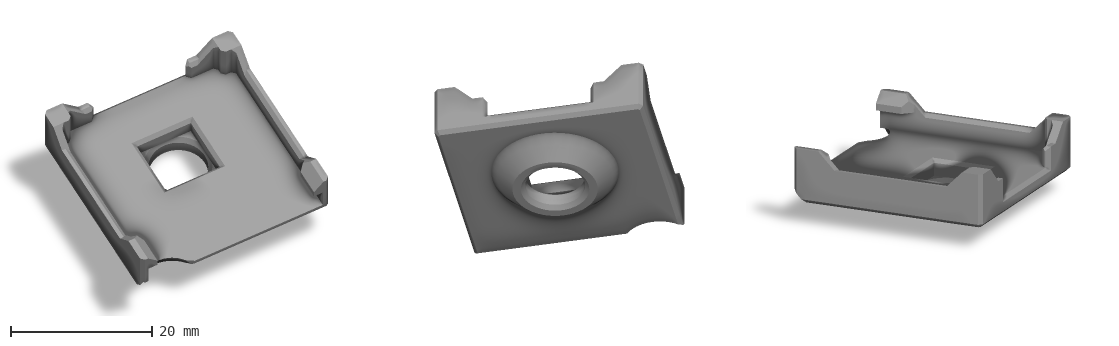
import cadquery as cq

LENGTH = 29.5
WIDTH = 30.2
TOTAL_HEIGHT = 11.0
BOSS_HEIGHT = 3.0
TOP = TOTAL_HEIGHT - BOSS_HEIGHT
FLOOR = 2.45
LOW_WALL = 5.47
BEVEL = 0.55
MARGIN = 0.3

SIDE_WALL = 1.12
END_WALL = 1.3
PILLAR = 3.05
OPENING = 16.0

HOOK_LENGTH = 4.0
HOOK_REACH = 2.55
HOOK_FLAT = 1.0

BOSS_X = 12.15
BOSS_Y = 15.2
BOSS_BOTTOM_RADIUS = 6.05
SOCKET = 8.67
SOCKET_BOTTOM = 0.0
BORE_DIAMETER = 8.5
BORE_BEVEL = 0.6

EDGE_RELIEF = 1.85
NOTCH_X = 31.15
NOTCH_Y = 4.02
NOTCH_RADIUS = 4.1
NOTCH_BOTTOM_RADIUS = 5.32
NOTCH_FLARE_X = 28.72
NOTCH_FLARE_Y = 7.3
NOTCH_FLARE_END_Y = 8.52


def mirror_width(shape):
    """Return the shape reflected about the middle of the width."""
    return shape.mirror("XZ", (0, WIDTH / 2, 0))


def prism_along_x(points, start, end):
    """Extrude a (y, z) outline from x = start to x = end."""
    return cq.Workplane("YZ", origin=(start, 0, 0)).polyline(points).close().extrude(end - start)


def prism_along_y(points, start, end):
    """Extrude an (x, z) outline from y = start to y = end."""
    return cq.Workplane("XZ", origin=(0, start, 0)).polyline(points).close().extrude(start - end)


def prism_along_z(points, start, end):
    """Extrude an (x, y) outline from z = start to z = end."""
    return cq.Workplane("XY", origin=(0, 0, start)).polyline(points).close().extrude(end - start)


def ramped_gap(start, end, bottom):
    """Outline of a gap with 45 degree sides, given its ends at the top of the part."""
    depth = TOP - bottom
    return [
        (start - MARGIN, TOP + MARGIN),
        (start + depth, bottom),
        (end - depth, bottom),
        (end + MARGIN, TOP + MARGIN),
    ]


def make_blank():
    return (
        cq.Workplane("XY")
        .box(LENGTH, WIDTH, TOP, centered=False)
        .edges("|Z").chamfer(BEVEL)
        .faces("<Z").edges("not >X").chamfer(BEVEL)
    )


def make_pocket():
    """Space above the floor, stepped around a pillar at each closed corner."""
    half_outline = [
        (LENGTH + MARGIN, SIDE_WALL),
        (PILLAR + BEVEL, SIDE_WALL),
        (PILLAR, SIDE_WALL + BEVEL),
        (PILLAR, PILLAR - BEVEL),
        (PILLAR - BEVEL, PILLAR),
        (END_WALL + BEVEL, PILLAR),
        (END_WALL, PILLAR + BEVEL),
    ]
    other_half = [(x, WIDTH - y) for x, y in reversed(half_outline)]
    return prism_along_z(half_outline + other_half, FLOOR, TOP + MARGIN)


def make_hook():
    """Overhanging lip on the front wall, sloped on top and bevelled at its inner end."""
    slope = HOOK_REACH - HOOK_FLAT
    profile = [
        (BEVEL, LOW_WALL),
        (HOOK_REACH, LOW_WALL),
        (HOOK_REACH, TOP - slope),
        (HOOK_FLAT, TOP),
        (BEVEL, TOP),
    ]
    hook_start = LENGTH - HOOK_LENGTH
    plan = [
        (hook_start - HOOK_REACH, 0),
        (LENGTH, 0),
        (LENGTH, HOOK_REACH),
        (hook_start, HOOK_REACH),
    ]
    bar = prism_along_x(profile, hook_start - HOOK_REACH, LENGTH)
    return bar.intersect(prism_along_z(plan, 0, TOP))


def make_side_bevel():
    """Bevel on the inner top edge of the low front wall, ending on the ramp planes."""
    wedge = prism_along_x(
        [
            (SIDE_WALL - BEVEL, LOW_WALL),
            (SIDE_WALL, LOW_WALL - BEVEL),
            (SIDE_WALL, LOW_WALL),
        ],
        0,
        LENGTH,
    )
    gap = ramped_gap(PILLAR, LENGTH - HOOK_LENGTH, LOW_WALL - BEVEL)
    return wedge.intersect(prism_along_y(gap, 0, PILLAR))


def make_slope_trim():
    """Material above the sloped top of the front hook, where the wall is thicker than its flat."""
    return prism_along_x(
        [(HOOK_FLAT, TOP), (HOOK_REACH, TOP), (HOOK_REACH, TOP - HOOK_REACH + HOOK_FLAT)],
        LENGTH - HOOK_LENGTH - HOOK_REACH,
        LENGTH,
    )


def make_end_bevel():
    """Bevel on the inner top edge of the low end wall."""
    wedge = prism_along_y(
        [(END_WALL - BEVEL, LOW_WALL), (END_WALL, LOW_WALL - BEVEL), (END_WALL, LOW_WALL)],
        0,
        WIDTH,
    )
    gap = ramped_gap(PILLAR, WIDTH - PILLAR, LOW_WALL - BEVEL)
    return wedge.intersect(prism_along_x(gap, 0, PILLAR))


def make_end_opening():
    """Gap in the end wall, flared outward, inward and upward by the bevel."""
    half_mouth = OPENING / 2
    half_throat = half_mouth - BEVEL
    middle = WIDTH / 2

    throat = prism_along_z(
        [
            (0, middle - half_mouth),
            (BEVEL, middle - half_throat),
            (END_WALL - BEVEL, middle - half_throat),
            (END_WALL, middle - half_mouth),
            (END_WALL, middle + half_mouth),
            (END_WALL - BEVEL, middle + half_throat),
            (BEVEL, middle + half_throat),
            (0, middle + half_mouth),
        ],
        FLOOR,
        TOP,
    )
    top_flare = prism_along_x(
        [
            (middle - half_throat, LOW_WALL - BEVEL),
            (middle + half_throat, LOW_WALL - BEVEL),
            (middle + half_mouth, LOW_WALL),
            (middle - half_mouth, LOW_WALL),
        ],
        0,
        END_WALL,
    )
    sill_plan = [
        (0, middle - half_mouth),
        (BEVEL, middle - half_throat),
        (BEVEL, middle + half_throat),
        (0, middle + half_mouth),
    ]
    sill_slope = prism_along_y([(0, FLOOR - BEVEL), (BEVEL, FLOOR), (0, FLOOR)], 0, WIDTH)
    sill = sill_slope.intersect(prism_along_z(sill_plan, 0, FLOOR))
    return throat.union(top_flare).union(sill)


def make_boss():
    return (
        cq.Workplane("XY", origin=(BOSS_X, BOSS_Y, -BOSS_HEIGHT))
        .circle(BOSS_BOTTOM_RADIUS)
        .workplane(offset=BOSS_HEIGHT)
        .circle(BOSS_BOTTOM_RADIUS + BOSS_HEIGHT)
        .loft()
    )


def make_socket():
    """Bevelled square socket that steps down to a round bore countersunk at both ends."""
    center = (BOSS_X, BOSS_Y)
    bore_radius = BORE_DIAMETER / 2
    square = (
        cq.Workplane("XY", origin=(*center, SOCKET_BOTTOM))
        .rect(SOCKET, SOCKET)
        .extrude(FLOOR - SOCKET_BOTTOM)
    )
    bevel = (
        cq.Workplane("XY", origin=(*center, FLOOR - BEVEL))
        .rect(SOCKET, SOCKET)
        .workplane(offset=BEVEL)
        .rect(SOCKET + 2 * BEVEL, SOCKET + 2 * BEVEL)
        .loft()
    )
    bore = (
        cq.Workplane("XY", origin=(*center, -BOSS_HEIGHT))
        .circle(bore_radius)
        .extrude(BOSS_HEIGHT + SOCKET_BOTTOM)
    )
    countersink = (
        cq.Workplane("XY", origin=(*center, SOCKET_BOTTOM - BORE_BEVEL))
        .circle(bore_radius)
        .workplane(offset=BORE_BEVEL)
        .circle(bore_radius + BORE_BEVEL)
        .loft()
    )
    bottom_countersink = (
        cq.Workplane("XY", origin=(*center, -BOSS_HEIGHT))
        .circle(bore_radius + BORE_BEVEL)
        .workplane(offset=BORE_BEVEL)
        .circle(bore_radius)
        .loft()
    )
    return square.union(bevel).union(bore).union(countersink).union(bottom_countersink)


def make_edge_relief():
    """45 degree relief along the underside of the open edge."""
    return prism_along_y(
        [(LENGTH - EDGE_RELIEF, 0), (LENGTH, 0), (LENGTH, EDGE_RELIEF)], 0, WIDTH
    )


def make_notch():
    """Conical notch through the floor, widening downward, with a flared outer end."""
    cone = (
        cq.Workplane("XY", origin=(NOTCH_X, NOTCH_Y, 0))
        .circle(NOTCH_BOTTOM_RADIUS)
        .workplane(offset=FLOOR)
        .circle(NOTCH_RADIUS)
        .loft()
    )
    flare = prism_along_z(
        [
            (NOTCH_FLARE_X, NOTCH_FLARE_Y),
            (LENGTH, NOTCH_FLARE_Y),
            (LENGTH, NOTCH_FLARE_END_Y),
        ],
        0,
        FLOOR,
    )
    return cone.union(flare)


side_gap = prism_along_y(ramped_gap(PILLAR, LENGTH - HOOK_LENGTH, LOW_WALL), -MARGIN, WIDTH + MARGIN)
end_gap = prism_along_x(ramped_gap(PILLAR, WIDTH - PILLAR, LOW_WALL), -MARGIN, PILLAR)
body = make_blank().cut(make_pocket())

for place in (lambda shape: shape, mirror_width):
    body = body.union(place(make_hook()))
    body = body.cut(place(make_slope_trim()))
    body = body.cut(place(make_side_bevel()))

body = body.cut(side_gap).cut(end_gap)
body = body.cut(make_end_bevel()).cut(make_end_opening())
body = body.cut(make_edge_relief()).cut(make_notch())
result = body.union(make_boss()).cut(make_socket())